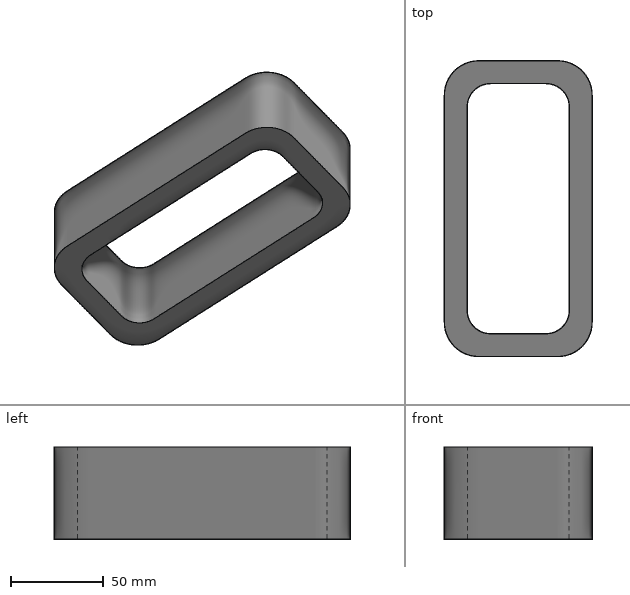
import cadquery as cq

width = 80.0
length = 160.0
height = 50.0
wall = 12.5
outer_radius = 1.5 * wall
inner_radius = wall


def rounded_block(size_x, size_y, corner_radius):
    """Block of the full height with rounded vertical edges, standing on the XY plane."""
    block = cq.Workplane("XY").rect(size_x, size_y).extrude(height)
    return block.edges("|Z").fillet(corner_radius)


outer_body = rounded_block(width, length, outer_radius)
through_opening = rounded_block(width - 2 * wall, length - 2 * wall, inner_radius)

result = outer_body.cut(through_opening)